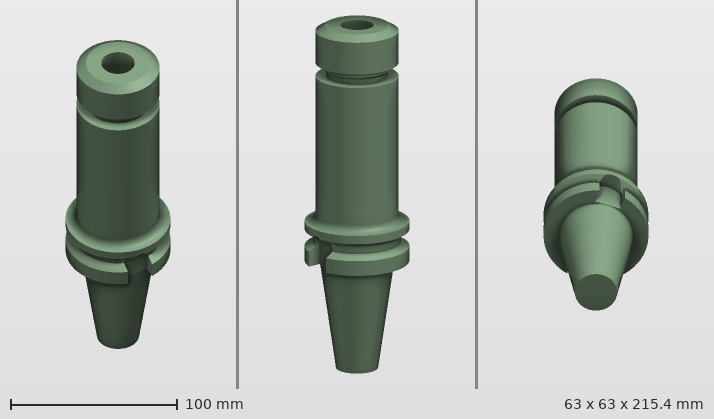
import cadquery as cq
import math


gauge_radius = 44.45 / 2
taper_length = 65.4
taper_ratio = 7 / 24
taper_end_radius = gauge_radius - taper_length * taper_ratio / 2

flange_radius = 63 / 2
flange_bottom = 2.0
flange_top = 27.0
groove_middle = 16.6
groove_floor_radius = 26.5
groove_floor_width = 4.9
groove_flank_angle = 30.0
groove_flank_height = (flange_radius - groove_floor_radius) * math.tan(math.radians(groove_flank_angle))

slot_width = 16.1
slot_floor_distance = 22.5
slot_round_center = 15.1

projection = 150.0
body_radius = 25.0
body_top = 118.2
body_fillet_radius = 5.0

neck_radius = 18.5
collar_radius = 20.0
collar_chamfer = collar_radius - neck_radius
collar_bottom = 121.5

nut_radius = 25.0
nut_height = 23.4
nut_face_radius = 19.2
nut_chamfer_angle = 30.0
nut_chamfer_height = (nut_radius - nut_face_radius) * math.tan(math.radians(nut_chamfer_angle))
nut_bottom = projection - nut_height

bore_radius = 10.0
bore_depth = 40.0


def make_turned_body():
    """Revolve the half section of the holder, drawn as (radius, height)."""
    groove_floor_bottom = groove_middle - groove_floor_width / 2
    groove_floor_top = groove_middle + groove_floor_width / 2
    fillet_outer_radius = body_radius + body_fillet_radius
    fillet_top = flange_top + body_fillet_radius
    fillet_sagitta = body_fillet_radius * (1 - math.sqrt(0.5))
    fillet_middle = (body_radius + fillet_sagitta, flange_top + fillet_sagitta)

    section = (
        cq.Workplane("XZ")
        .moveTo(0, -taper_length)
        .lineTo(taper_end_radius, -taper_length)
        .lineTo(gauge_radius, 0)
        .lineTo(gauge_radius, flange_bottom)
        .lineTo(flange_radius, flange_bottom)
        .lineTo(flange_radius, groove_floor_bottom - groove_flank_height)
        .lineTo(groove_floor_radius, groove_floor_bottom)
        .lineTo(groove_floor_radius, groove_floor_top)
        .lineTo(flange_radius, groove_floor_top + groove_flank_height)
        .lineTo(flange_radius, flange_top)
        .lineTo(fillet_outer_radius, flange_top)
        .threePointArc(fillet_middle, (body_radius, fillet_top))
        .lineTo(body_radius, body_top)
        .lineTo(neck_radius, body_top)
        .lineTo(neck_radius, collar_bottom)
        .lineTo(collar_radius, collar_bottom + collar_chamfer)
        .lineTo(collar_radius, nut_bottom)
        .lineTo(nut_radius, nut_bottom)
        .lineTo(nut_radius, projection - nut_chamfer_height)
        .lineTo(nut_face_radius, projection)
        .lineTo(0, projection)
        .close()
    )
    return section.revolve(360, (0, 0, 0), (0, 1, 0))


def make_bore():
    """Blind bore that enters from the nut face."""
    return cq.Workplane("XY").workplane(offset=projection).circle(bore_radius).extrude(-bore_depth)


def make_drive_slot(side):
    """Cutter for the round-ended slot on the +X (side = 1) or -X (side = -1) side."""
    half_width = slot_width / 2
    slot_depth = flange_radius - slot_floor_distance
    return (
        cq.Workplane("YZ")
        .workplane(offset=side * slot_floor_distance)
        .moveTo(-half_width, flange_bottom)
        .lineTo(half_width, flange_bottom)
        .lineTo(half_width, slot_round_center)
        .threePointArc((0, slot_round_center + half_width), (-half_width, slot_round_center))
        .close()
        .extrude(side * slot_depth)
    )


result = make_turned_body().cut(make_bore())
for slot_side in (-1, 1):
    result = result.cut(make_drive_slot(slot_side))